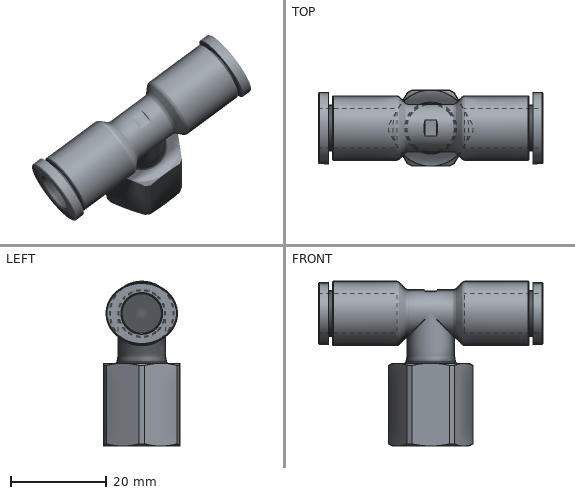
import cadquery as cq
import math

run_length = 47.2
half_length = run_length / 2
socket_radius = 6.8
waist_radius = 5.0
socket_outer_end = 20.65
socket_end_chamfer = 0.2
shoulder_start = 5.1
shoulder_length = socket_radius - waist_radius
shoulder_outer_round = 1.0
shoulder_inner_round = 1.0

collar_neck_radius = 4.8
collar_width = 15.0
collar_height = 13.05
collar_thickness = 2.12
collar_edge_chamfer = 0.2
collar_inner_face = half_length - collar_thickness

bore_radius = 4.15
bore_depth = 16.5
bore_mouth_chamfer = 0.25

recess_floor_height = 4.7
recess_floor_length = 2.4
recess_top_length = 2.9

overall_height = 34.7
stem_radius = waist_radius
flare_start_depth = 9.05
flare_radius = 5.25
flare_end_depth = 10.25
foot_radius = 5.48
nut_top_depth = 10.5
nut_bottom_depth = overall_height - socket_radius

nut_across_flats = 16.0
nut_across_corners = 17.8
nut_chamfer_angle = 26.0
nut_height = nut_bottom_depth - nut_top_depth
nut_sides = 6
half_side_angle = 180 / nut_sides

selection_margin = 0.05


def ring_at(x):
    """Selector for the circular edge around the X axis at the given place."""
    return cq.selectors.BoxSelector(
        (x - selection_margin, -socket_radius, -socket_radius),
        (x + selection_margin, socket_radius, socket_radius),
    )


def make_run_half():
    """Waist, shoulder and socket on the +X side, turned about the X axis."""
    shoulder_end = shoulder_start + shoulder_length
    solid = (
        cq.Workplane("XY")
        .polyline([
            (0, 0),
            (0, waist_radius),
            (shoulder_start, waist_radius),
            (shoulder_end, socket_radius),
            (socket_outer_end, socket_radius),
            (socket_outer_end, 0),
        ])
        .close()
        .revolve(360, (0, 0, 0), (1, 0, 0))
    )
    return (
        solid
        .edges(ring_at(shoulder_start)).fillet(shoulder_inner_round)
        .edges(ring_at(shoulder_end)).fillet(shoulder_outer_round)
        .faces(">X").edges().chamfer(socket_end_chamfer)
    )


def make_collar():
    """Neck and oval collar on the +X side."""
    neck = (
        cq.Workplane("YZ", origin=(socket_outer_end, 0, 0))
        .circle(collar_neck_radius)
        .extrude(collar_inner_face - socket_outer_end)
    )
    collar = (
        cq.Workplane("YZ", origin=(collar_inner_face, 0, 0))
        .ellipse(collar_width / 2, collar_height / 2)
        .extrude(collar_thickness)
        .faces(">X").edges().chamfer(collar_edge_chamfer)
    )
    return neck.union(collar)


def make_bore():
    """Blind tube bore with a chamfered mouth, on the +X side."""
    mouth_radius = bore_radius + bore_mouth_chamfer
    floor_x = half_length - bore_depth
    return (
        cq.Workplane("XY")
        .polyline([
            (floor_x, 0),
            (floor_x, bore_radius),
            (half_length - bore_mouth_chamfer, bore_radius),
            (half_length, mouth_radius),
            (half_length, 0),
        ])
        .close()
        .revolve(360, (0, 0, 0), (1, 0, 0))
    )


def make_recess():
    """Cutter with sloping ends that leaves a small flat on top of the waist."""
    return (
        cq.Workplane("XZ")
        .polyline([
            (-recess_floor_length / 2, recess_floor_height),
            (recess_floor_length / 2, recess_floor_height),
            (recess_top_length / 2, waist_radius),
            (-recess_top_length / 2, waist_radius),
        ])
        .close()
        .extrude(waist_radius, both=True)
    )


def make_stem():
    """Round stem from the run axis to the nut, flaring at its foot."""
    return (
        cq.Workplane("XZ")
        .polyline([
            (0, 0),
            (stem_radius, 0),
            (stem_radius, -flare_start_depth),
            (flare_radius, -flare_end_depth),
            (foot_radius, -nut_top_depth),
            (0, -nut_top_depth),
        ])
        .close()
        .revolve(360, (0, 0, 0), (0, 1, 0))
    )


def make_nut():
    """Hexagon with flats on +Y and -Y, flattened corners and turned ends."""
    sharp_corners = nut_across_flats / math.cos(math.radians(half_side_angle))
    base = cq.Workplane("XY", origin=(0, 0, -nut_bottom_depth))
    hexagon = base.polygon(nut_sides, sharp_corners).extrude(nut_height)
    trim_corners = nut_across_corners / math.cos(math.radians(half_side_angle))
    corner_trim = (
        base
        .transformed(rotate=(0, 0, half_side_angle))
        .polygon(nut_sides, trim_corners)
        .extrude(nut_height)
    )
    outer_radius = sharp_corners / 2
    chamfer_width = outer_radius - nut_across_flats / 2
    chamfer_drop = chamfer_width * math.tan(math.radians(nut_chamfer_angle))
    turned_blank = (
        base
        .circle(outer_radius)
        .extrude(nut_height)
        .faces("<Z or >Z").edges()
        .chamfer(chamfer_drop, chamfer_width)
    )
    return hexagon.intersect(corner_trim).intersect(turned_blank)


half_run = make_run_half().union(make_collar())
bore = make_bore()

result = (
    half_run
    .union(half_run.mirror("YZ"))
    .union(make_stem())
    .union(make_nut())
    .cut(bore)
    .cut(bore.mirror("YZ"))
    .cut(make_recess())
)